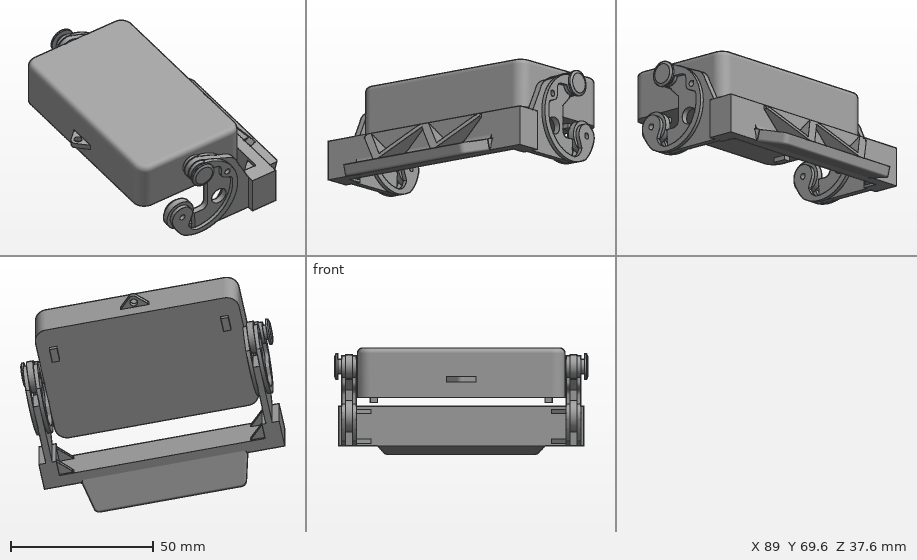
import cadquery as cq
import math


hood_width = 73.0
hood_length = 43.1
hood_centre_y = 0.1
hood_top = 6.6
hood_height = 17.5
hood_corner_radius = 4.45
hood_top_fillet = 2.0
hood_bottom = hood_top - hood_height
hood_front = hood_centre_y - hood_length / 2

peg_width = 2.7
peg_length = 5.1
peg_height = 1.7
peg_x = 30.7
peg_y = -11.9

eyelet_tip_radius = 1.8
eyelet_tip_y = -24.0
eyelet_hole_radius = 1.3
eyelet_hole_y = -23.2
eyelet_thickness = 2.0
eyelet_bottom = -5.4

bar_width = 86.15
bar_back = 31.5
bar_thickness = 4.3
bar_top = -13.9
bar_height = 14.0
bar_bottom = bar_top - bar_height
bar_front = bar_back - bar_thickness
arm_width = 6.2
arm_front = 21.5
arm_inner_x = bar_width / 2 - arm_width
gusset_leg = 5.2
gusset_spans = [(-16.55, -15.1), (-27.0, -25.4)]

grip_tilt = 15.0
grip_thickness = 4.2
grip_root_half_width = 30.3
grip_tip_half_width = 26.9
grip_tip_y = 43.8
grip_root_z = -23.8
grip_corner_radius = 2.0
grip_edge_fillet = 0.8
grip_blend = 1.4
blend_bulge = 0.3
grip_bevel_start_y = 42.9
grip_bevel_angle = 25.0
grip_overlap = 1.2
grip_length = (grip_tip_y - bar_back) / math.cos(math.radians(grip_tilt))

rib_x = 12.9
rib_shoulder_y = 32.8
rib_apex_y = 43.6
rib_slope_end_y = 42.6
groove_half_width = 10.95
groove_apex_y = 40.7

lever_x = 39.4
core_thickness = 2.3
lever_thickness = 5.2
core_eye_radius = 4.2
cheek_eye_radius = 3.8
cheek_outer_radius = 15.6
cheek_centre = (0.45, -12.4)
window_centre = (9.0, -16.5)
window_radius = 3.0
rivet_centre = (11.7, -5.5)
small_hole_radius = 1.1
roller_centre = (-7.5, -17.4)
roller_radius = 5.6
roller_cheek_radius = 4.3
core_neck_y = 4.1
core_neck_top_z = -8.3
core_chin_z = -4.5
core_step_z = -19.5
core_step_fillet = 2.3
core_foot_bottom_y = -1.0
core_foot_top_y = -1.4
core_shoulder_arc = [(13.0, -0.7), (15.1, -2.0), (16.9, -4.8)]
core_eye_tangent_angle = 69

cheek_back_end_angle = 242
hook_outer_angle = 196
hook_inner_angle = 340
hook_outer_middle = (-10.1, -22.25)
hook_throat_arc = [(-4.8, -22.2), (-3.7, -24.4), (-1.1, -26.1)]
cheek_inner_arc = [hook_throat_arc[-1], (6.8, -24.1), (13.9, -11.5)]
rivet_lower_arc = [(13.8, -10.1), (13.35, -8.9), (12.1, -8.2)]
rivet_middle_arc = [(10.5, -7.6), (9.4, -6.8), (9.1, -5.4)]
rivet_upper_arc = [(9.1, -3.65), (8.45, -1.8), (6.8, -1.0)]

pin_radius = 2.6
pin_end_x = 44.5
head_radius = 4.5
head_thickness = 1.2
head_chamfer_length = 0.45
head_chamfer_depth = 1.0


def block(x_span, y_span, z_span):
    """Axis-aligned block between the given limits."""
    size = [high - low for low, high in (x_span, y_span, z_span)]
    return cq.Workplane("XY").box(*size, centered=False).translate((x_span[0], y_span[0], z_span[0]))


def both_sides(solid):
    """The solid together with its mirror image across X = 0."""
    return solid.union(solid.mirror("YZ"))


def on_circle(centre, radius, degrees):
    """Point on a circle, the angle measured from +Y towards +Z."""
    angle = math.radians(degrees)
    return (centre[0] + radius * math.cos(angle), centre[1] + radius * math.sin(angle))


def lever_plane(thickness):
    """Y-Z plane from which a plate of this thickness is centred on the right lever."""
    return cq.Workplane("YZ", origin=(lever_x - thickness / 2, 0, 0))


def lever_disc(centre, radius, thickness):
    return lever_plane(thickness).center(*centre).circle(radius).extrude(thickness)


def make_hood():
    body = block(
        (-hood_width / 2, hood_width / 2),
        (hood_front, hood_front + hood_length),
        (hood_bottom, hood_top),
    )
    body = body.edges("|Z").fillet(hood_corner_radius).faces(">Z").edges().fillet(hood_top_fillet)
    peg = block(
        (peg_x - peg_width / 2, peg_x + peg_width / 2),
        (peg_y - peg_length / 2, peg_y + peg_length / 2),
        (hood_bottom - peg_height, hood_bottom),
    )
    return body.union(both_sides(peg)).union(make_eyelet())


def make_eyelet():
    """Flat ear with 45 degree sides, a round tip and a hole."""
    tangent = eyelet_tip_radius * math.sin(math.radians(45))
    tangent_y = eyelet_tip_y - tangent
    root_half_width = tangent + hood_front - tangent_y
    return (
        cq.Workplane("XY", origin=(0, 0, eyelet_bottom))
        .moveTo(-root_half_width, hood_front)
        .lineTo(-tangent, tangent_y)
        .threePointArc((0, eyelet_tip_y - eyelet_tip_radius), (tangent, tangent_y))
        .lineTo(root_half_width, hood_front)
        .close()
        .extrude(eyelet_thickness)
        .cut(
            cq.Workplane("XY", origin=(0, eyelet_hole_y, eyelet_bottom))
            .circle(eyelet_hole_radius)
            .extrude(eyelet_thickness)
        )
    )


def make_bar():
    bar = block((-bar_width / 2, bar_width / 2), (bar_front, bar_back), (bar_bottom, bar_top))
    side = block((arm_inner_x, bar_width / 2), (arm_front, bar_back), (bar_bottom, bar_top))
    for low, high in gusset_spans:
        gusset = (
            cq.Workplane("XY", origin=(0, 0, low))
            .moveTo(arm_inner_x, bar_front)
            .lineTo(arm_inner_x - gusset_leg, bar_front)
            .lineTo(arm_inner_x, bar_front - gusset_leg)
            .close()
            .extrude(high - low)
        )
        side = side.union(gusset)
    return bar.union(both_sides(side))


def grip_top(y):
    """Height of the grip's upper face."""
    return grip_root_z - (y - bar_back) * math.tan(math.radians(grip_tilt))


def grip_surface():
    """Plane of the grip's upper face; its origin is the middle of the joint with the bar."""
    tilt = math.radians(grip_tilt)
    return cq.Plane(
        origin=(0, bar_back, grip_root_z),
        xDir=(1, 0, 0),
        normal=(0, math.sin(tilt), math.cos(tilt)),
    )


def make_grip_plate():
    """Tapered plate, tilted down away from the bar, with a rounded lower edge."""
    surface = grip_surface()
    plate = (
        cq.Workplane(surface)
        .moveTo(-grip_root_half_width, -grip_overlap)
        .lineTo(grip_root_half_width, -grip_overlap)
        .lineTo(grip_tip_half_width, grip_length)
        .lineTo(-grip_tip_half_width, grip_length)
        .close()
        .extrude(-grip_thickness)
    )
    upright = cq.selectors.ParallelDirSelector(surface.zDir)
    lower_face = cq.selectors.DirectionMinMaxSelector(surface.zDir, False)
    plate = plate.edges(upright).edges(">Y").fillet(grip_corner_radius)
    return plate.faces(lower_face).edges().fillet(grip_edge_fillet)


def make_side_flare():
    """Concave blend between one side of the grip and the bar."""
    bulge = blend_bulge * grip_blend
    return (
        cq.Workplane(grip_surface())
        .moveTo(grip_tip_half_width, 0)
        .lineTo(grip_root_half_width + grip_blend / 2, 0)
        .threePointArc((grip_root_half_width, bulge), (grip_root_half_width - bulge, grip_blend))
        .lineTo(grip_tip_half_width, grip_blend)
        .close()
        .extrude(grip_edge_fillet - grip_thickness)
    )


def make_root_fillet():
    """Concave blend between the upper face of the grip and the bar."""
    middle = blend_bulge * grip_blend
    return (
        cq.Workplane("YZ", origin=(-grip_root_half_width, 0, 0))
        .moveTo(bar_back, grip_top(bar_back))
        .lineTo(bar_back, grip_top(bar_back) + grip_blend)
        .threePointArc(
            (bar_back + middle, grip_top(bar_back + middle) + middle),
            (bar_back + grip_blend, grip_top(bar_back + grip_blend)),
        )
        .close()
        .extrude(2 * grip_root_half_width)
    )


def rib_top(y):
    """Height of the plane that slopes from the bar's upper edge to the tip of the grip."""
    slope = (grip_top(rib_slope_end_y) - bar_top) / (rib_slope_end_y - bar_back)
    return bar_top + slope * (y - bar_back)


def make_rib():
    """Rib with overhanging V sides, running level along Y and cut off by the sloping plane."""
    shoulder_z = rib_top(rib_shoulder_y)
    section = (
        cq.Workplane("XZ", origin=(rib_x, bar_back, 0))
        .moveTo(-rib_x, bar_top)
        .lineTo(rib_x, bar_top)
        .lineTo(rib_x, shoulder_z)
        .lineTo(0, rib_top(rib_apex_y))
        .lineTo(-rib_x, shoulder_z)
        .close()
        .extrude(bar_back - rib_apex_y)
    )
    wedge = (
        cq.Workplane("YZ")
        .moveTo(bar_back, bar_top)
        .lineTo(rib_slope_end_y, grip_top(rib_slope_end_y))
        .lineTo(bar_back, grip_root_z)
        .close()
        .extrude(2 * rib_x)
    )
    return section.intersect(wedge)


def make_groove():
    """V-shaped cutter that runs level from the bar to the groove's apex."""
    return (
        cq.Workplane("XZ", origin=(rib_x, bar_back, 0))
        .moveTo(-groove_half_width, bar_top)
        .lineTo(groove_half_width, bar_top)
        .lineTo(0, rib_top(groove_apex_y))
        .close()
        .extrude(bar_back - groove_apex_y)
    )


def make_tip_bevel():
    """Cutter for the slightly steeper strip along the tip of the grip."""
    end_y = grip_tip_y + grip_blend
    start_z = grip_top(grip_bevel_start_y)
    drop = (end_y - grip_bevel_start_y) * math.tan(math.radians(grip_bevel_angle))
    return (
        cq.Workplane("YZ", origin=(-grip_root_half_width, 0, 0))
        .moveTo(grip_bevel_start_y, start_z)
        .lineTo(end_y, start_z)
        .lineTo(end_y, start_z - drop)
        .close()
        .extrude(2 * grip_root_half_width)
    )


def make_grip():
    grip = make_grip_plate().cut(make_tip_bevel()).union(make_root_fillet())
    grip = grip.union(both_sides(make_side_flare())).union(both_sides(make_rib()))
    return grip.cut(both_sides(make_groove()))


def make_lever_core():
    """Middle plate that carries the handle arm and swings on the pin."""
    plate = (
        lever_plane(core_thickness)
        .moveTo(arm_front, bar_bottom)
        .lineTo(core_foot_bottom_y, bar_bottom)
        .lineTo(core_foot_top_y, core_step_z)
        .lineTo(core_neck_y - core_step_fillet, core_step_z)
        .radiusArc((core_neck_y, core_step_z + core_step_fillet), -core_step_fillet)
        .lineTo(core_neck_y, core_neck_top_z)
        .lineTo(0, core_chin_z)
        .lineTo(0, 0)
        .lineTo(*on_circle((0, 0), core_eye_radius, core_eye_tangent_angle))
        .lineTo(*core_shoulder_arc[0])
        .threePointArc(*core_shoulder_arc[1:])
        .lineTo(arm_front, bar_top)
        .close()
        .extrude(core_thickness)
    )
    return plate.union(lever_disc((0, 0), core_eye_radius, core_thickness))


def make_cheeks():
    """Hook-shaped outline of the cheeks, as thick as the whole lever."""
    hook = (
        lever_plane(lever_thickness)
        .moveTo(*on_circle(cheek_centre, cheek_outer_radius, 90))
        .threePointArc(
            on_circle(cheek_centre, cheek_outer_radius, 0),
            on_circle(cheek_centre, cheek_outer_radius, cheek_back_end_angle),
        )
        .threePointArc(hook_outer_middle, on_circle(roller_centre, roller_cheek_radius, hook_outer_angle))
        .lineTo(*roller_centre)
        .lineTo(*on_circle(roller_centre, roller_cheek_radius, hook_inner_angle))
        .lineTo(*hook_throat_arc[0])
        .threePointArc(*hook_throat_arc[1:])
        .threePointArc(*cheek_inner_arc[1:])
    )
    for start, middle, end in (rivet_lower_arc, rivet_middle_arc, rivet_upper_arc):
        hook = hook.lineTo(*start).threePointArc(middle, end)
    hook = (
        hook.lineTo(cheek_centre[0], rivet_upper_arc[-1][1])
        .close()
        .extrude(lever_thickness)
    )
    eye = lever_disc((0, 0), cheek_eye_radius, lever_thickness)
    hook_end = lever_disc(roller_centre, roller_cheek_radius, lever_thickness)
    return hook.union(eye).union(hook_end)


def make_lever():
    gap = lever_disc(cheek_centre, 2 * cheek_outer_radius, core_thickness)
    lever = make_cheeks().cut(gap).union(make_lever_core())
    lever = lever.union(lever_disc(roller_centre, roller_radius, core_thickness))
    holes = [
        (window_centre, window_radius),
        (rivet_centre, small_hole_radius),
        (roller_centre, small_hole_radius),
    ]
    for centre, radius in holes:
        lever = lever.cut(lever_disc(centre, radius, lever_thickness))
    return lever


def make_pin():
    """Headed pin from the hood wall out through the lever."""
    head_x = pin_end_x - head_thickness
    return (
        cq.Workplane("XY")
        .moveTo(hood_width / 2, 0)
        .lineTo(hood_width / 2, pin_radius)
        .lineTo(head_x, pin_radius)
        .lineTo(head_x, head_radius)
        .lineTo(pin_end_x - head_chamfer_length, head_radius)
        .lineTo(pin_end_x, head_radius - head_chamfer_depth)
        .lineTo(pin_end_x, 0)
        .close()
        .revolve(360, (0, 0, 0), (1, 0, 0))
    )


handle = make_bar().union(make_grip())
side_parts = both_sides(make_lever().union(make_pin()))
result = make_hood().union(side_parts).union(handle)